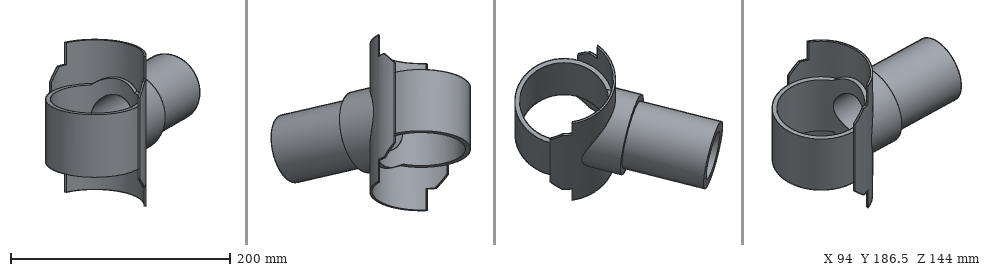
import cadquery as cq

ring_outer_radius = 45.0
ring_wall = 4.5
ring_inner_radius = ring_outer_radius - ring_wall
ring_height = 60.2

saddle_wall = 2.0
saddle_outer_radius = ring_outer_radius + saddle_wall
saddle_height = 144.0
neck_edge_y = 19.8
wing_height = 101.8
wing_chamfer = 11.7

overall_length = 186.5
pipe_radius = 31.7
pipe_end_y = overall_length - ring_outer_radius
collar_radius = 37.9
collar_end_y = 64.3
bore_radius = 22.4


def upright_cylinder(radius, height):
    """Cylinder about the Z axis, centred on the XY plane."""
    return cq.Workplane("XY", origin=(0, 0, -height / 2)).circle(radius).extrude(height)


def branch_cylinder(radius, end_y):
    """Cylinder about the Y axis, from the ring's centre to end_y."""
    return cq.Workplane("XZ").circle(radius).extrude(-end_y)


def saddle_shell():
    """Thin shell trimmed to the stepped, chamfered side profile."""
    half_height = saddle_height / 2
    half_wing = wing_height / 2
    upper_edge = [
        (0, half_wing - wing_chamfer),
        (wing_chamfer, half_wing),
        (neck_edge_y, half_wing),
        (neck_edge_y, half_height),
        (saddle_outer_radius, half_height),
    ]
    lower_edge = [(y, -z) for y, z in reversed(upper_edge)]
    profile = (
        cq.Workplane("YZ")
        .polyline(upper_edge + lower_edge)
        .close()
        .extrude(saddle_outer_radius, both=True)
    )
    shell = upright_cylinder(saddle_outer_radius, saddle_height).cut(
        upright_cylinder(ring_outer_radius, saddle_height)
    )
    return shell.intersect(profile)


body = (
    upright_cylinder(ring_outer_radius, ring_height)
    .union(saddle_shell())
    .union(branch_cylinder(collar_radius, collar_end_y))
    .union(branch_cylinder(pipe_radius, pipe_end_y))
)
result = body.cut(upright_cylinder(ring_inner_radius, saddle_height)).cut(
    branch_cylinder(bore_radius, pipe_end_y)
)